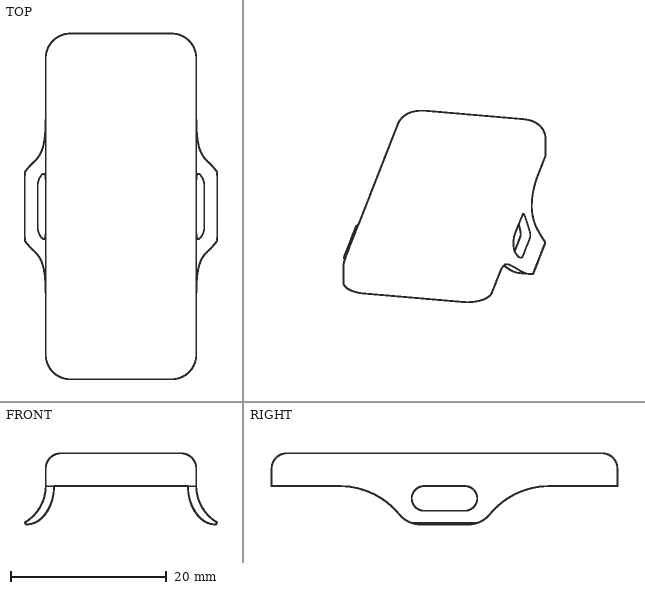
import cadquery as cq
import math

body_width = 19.4
body_length = 44.5
body_height = 4.25
corner_radius = 3.2
top_fillet = 2.0

overall_width = 24.79
overall_height = 9.2
clip_drop = overall_height - body_height
clip_root_thickness = 1.1
clip_outer_radius = 5.4
clip_tip_inset = 0.2

clip_bottom_length = 6.0
clip_convex_radius = 3.7
clip_concave_radius = 9.8

slot_length = 8.4
slot_height = 3.15


def make_body():
    slab = cq.Workplane("XY").rect(body_width, body_length).extrude(body_height)
    slab = slab.edges("|Z").fillet(corner_radius)
    return slab.faces(">Z").edges().fillet(top_fillet)


def make_clip_section():
    """Tapered flaring section of the +X clip, extruded along the body length."""
    root_outer_x = body_width / 2
    root_inner_x = root_outer_x - clip_root_thickness
    tip_x = overall_width / 2
    tip_lower_x = tip_x - clip_tip_inset

    arc_center_x = root_outer_x + clip_outer_radius
    tip_angle = math.acos((arc_center_x - tip_x) / clip_outer_radius)
    tip_z = -clip_outer_radius * math.sin(tip_angle)
    mid_x = arc_center_x - clip_outer_radius * math.cos(tip_angle / 2)
    mid_z = -clip_outer_radius * math.sin(tip_angle / 2)

    return (
        cq.Workplane("XZ", origin=(0, body_length / 2, 0))
        .moveTo(root_outer_x, 0)
        .threePointArc((mid_x, mid_z), (tip_x, tip_z))
        .lineTo(tip_lower_x, -clip_drop)
        .ellipseArc(tip_lower_x - root_inner_x, clip_drop, 180, 270, sense=-1)
        .close()
        .extrude(body_length)
    )


def make_clip_outline():
    """Side outline of the clip: two tangent arcs on each side of a flat bottom."""
    radius_sum = clip_convex_radius + clip_concave_radius
    sweep = math.acos(1 - clip_drop / radius_sum)
    bottom_y = clip_bottom_length / 2
    root_y = bottom_y + radius_sum * math.sin(sweep)

    def convex_point(angle):
        y = bottom_y + clip_convex_radius * math.sin(angle)
        z = -clip_drop + clip_convex_radius * (1 - math.cos(angle))
        return y, z

    def concave_point(angle):
        y = root_y - clip_concave_radius * math.sin(angle)
        z = -clip_concave_radius * (1 - math.cos(angle))
        return y, z

    def mirrored(point):
        return -point[0], point[1]

    convex_mid = convex_point(sweep / 2)
    blend = convex_point(sweep)
    concave_mid = concave_point(sweep / 2)
    return (
        cq.Workplane("YZ")
        .moveTo(-bottom_y, -clip_drop)
        .lineTo(bottom_y, -clip_drop)
        .threePointArc(convex_mid, blend)
        .threePointArc(concave_mid, (root_y, 0))
        .lineTo(-root_y, 0)
        .threePointArc(mirrored(concave_mid), mirrored(blend))
        .threePointArc(mirrored(convex_mid), (-bottom_y, -clip_drop))
        .close()
        .extrude(overall_width)
    )


def make_slot():
    return (
        cq.Workplane("YZ")
        .center(0, -slot_height / 2)
        .slot2D(slot_length, slot_height)
        .extrude(overall_width)
    )


def make_clip():
    return make_clip_section().intersect(make_clip_outline()).cut(make_slot())


clip = make_clip()
result = make_body().union(clip).union(clip.mirror("YZ"))